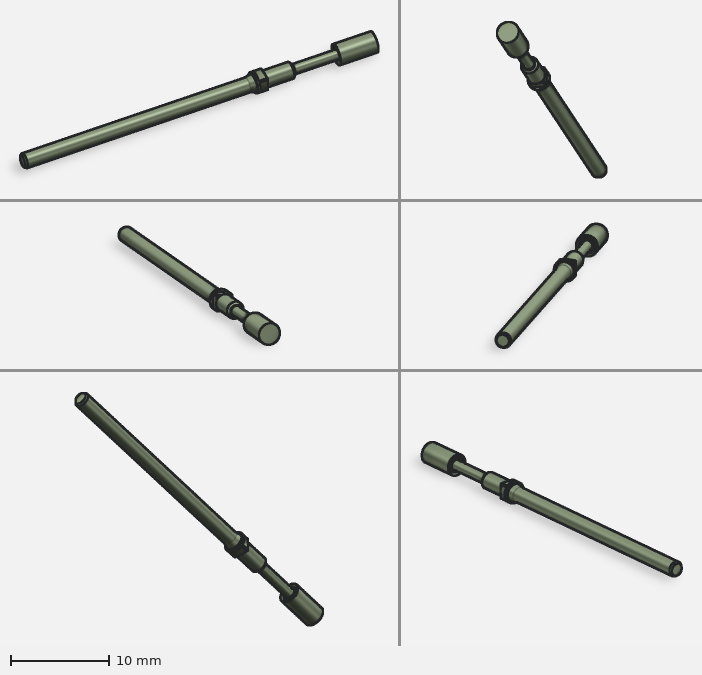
import cadquery as cq

length = 39.6
head_diameter = 2.3

shaft_diameter = 1.1
body_diameter = 1.82
tube_diameter = 1.62
flange_diameter = head_diameter
collar_start_diameter = 1.9
collar_middle_diameter = 1.82

head_length = 4.25
shaft_length = 4.87
body_length = 3.25
square_length = 0.95
flange_length = 0.28
collar_length = 0.67

square_width = 1.75
square_corner_diameter = flange_diameter

recess_rim_diameter = 2.25
recess_floor_diameter = 1.75
recess_depth = 0.28
root_diameter = 1.43
root_length = 0.15

lead_in_length = 0.28
lead_in_height = 0.28
tail_bevel_length = 0.25
tail_bevel_height = 0.15

head_end = length / 2
shaft_end = head_end - head_length
body_end = shaft_end - shaft_length
square_end = body_end - body_length
flange_end = square_end - square_length
collar_end = flange_end - flange_length
tube_end = collar_end - collar_length
tail_tip = -length / 2


def frustum(start_diameter, end_diameter, y_start, y_end):
    """Round section on the Y axis, tapering from y_start to y_end."""
    profile = [
        (0, y_start),
        (start_diameter / 2, y_start),
        (end_diameter / 2, y_end),
        (0, y_end),
    ]
    return cq.Workplane("XY").polyline(profile).close().revolve(360, (0, 0, 0), (0, 1, 0))


def cylinder(diameter, y_start, y_end):
    """Straight round section on the Y axis."""
    return frustum(diameter, diameter, y_start, y_end)


def contact_head():
    """Head hollowed from below, leaving a cone around the root of the shaft."""
    recess_floor = shaft_end + recess_depth
    head = cylinder(head_diameter, shaft_end, head_end)
    recess = frustum(recess_rim_diameter, recess_floor_diameter, shaft_end, recess_floor)
    root = frustum(shaft_diameter, root_diameter, recess_floor - root_length, recess_floor)
    shaft_root = cylinder(shaft_diameter, shaft_end, recess_floor)
    return head.cut(recess).union(shaft_root).union(root)


def body():
    """Guide body with a conical lead-in where the shaft enters it."""
    lead_in_start = body_end - lead_in_length
    barrel = cylinder(body_diameter, square_end, lead_in_start)
    lead_in = frustum(body_diameter, body_diameter - 2 * lead_in_height, lead_in_start, body_end)
    return barrel.union(lead_in)


def wrench_square():
    """Square section with corners rounded about the Y axis."""
    square = (
        cq.Workplane("XZ", origin=(0, flange_end, 0))
        .rect(square_width, square_width)
        .extrude(-square_length)
    )
    return square.intersect(cylinder(square_corner_diameter, flange_end, square_end))


def collar():
    """Barrelled collar narrowing from the flange to the tube."""
    middle = (collar_middle_diameter / 2, (collar_end + tube_end) / 2)
    profile = (
        cq.Workplane("XY")
        .moveTo(0, tube_end)
        .lineTo(tube_diameter / 2, tube_end)
        .threePointArc(middle, (collar_start_diameter / 2, collar_end))
        .lineTo(0, collar_end)
        .close()
    )
    return profile.revolve(360, (0, 0, 0), (0, 1, 0))


def tube():
    """Long tube with a bevelled tail."""
    bevel_end = tail_tip + tail_bevel_length
    barrel = cylinder(tube_diameter, bevel_end, tube_end)
    bevel = frustum(tube_diameter - 2 * tail_bevel_height, tube_diameter, tail_tip, bevel_end)
    return barrel.union(bevel)


shaft = cylinder(shaft_diameter, body_end, shaft_end)
flange = cylinder(flange_diameter, collar_end, flange_end)

result = contact_head()
for section in (shaft, body(), wrench_square(), flange, collar(), tube()):
    result = result.union(section)